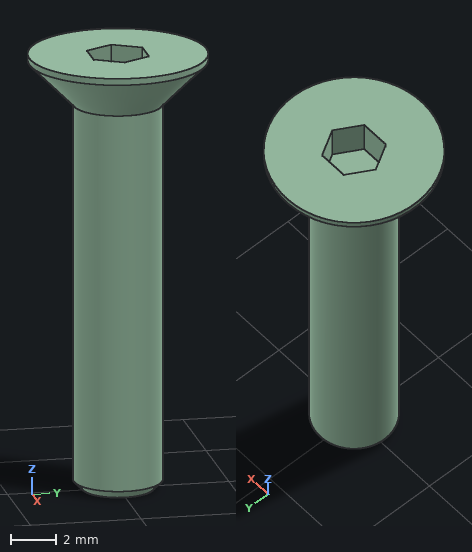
import cadquery as cq
import math

length = 20.0
head_radius = 4.0
shank_radius = 2.0
rim_height = 0.3
cone_height = head_radius - shank_radius
tip_chamfer = 0.4
socket_across_flats = 2.5
socket_depth = 1.8

rim_bottom = length - rim_height
cone_bottom = rim_bottom - cone_height


def make_body():
    """Revolve the half profile of the tip, shank and head about Z."""
    return (
        cq.Workplane("XZ")
        .moveTo(0, 0)
        .lineTo(shank_radius - tip_chamfer, 0)
        .lineTo(shank_radius, tip_chamfer)
        .lineTo(shank_radius, cone_bottom)
        .lineTo(head_radius, rim_bottom)
        .lineTo(head_radius, length)
        .lineTo(0, length)
        .close()
        .revolve(360, (0, 0), (0, 1))
    )


def make_socket():
    """Hexagonal prism with two corners on the X axis, sunk from the head face."""
    across_corners = socket_across_flats / math.cos(math.pi / 6)
    return (
        cq.Workplane("XY")
        .workplane(offset=length)
        .polygon(6, across_corners)
        .extrude(-socket_depth)
    )


result = make_body().cut(make_socket())